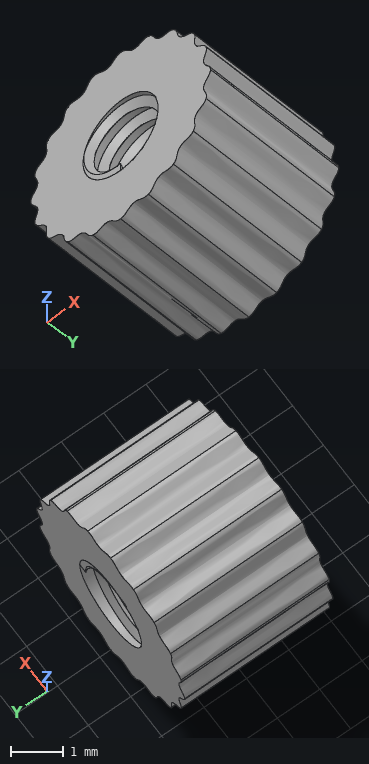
import cadquery as cq
import math

tip_diameter = 4.8
tip_radius = tip_diameter / 2
tooth_depth = 0.155
root_radius = tip_radius - tooth_depth
tooth_count = 20
flank_handle = 0.165
length = 3.5

bore_diameter = 2.0
bore_radius = bore_diameter / 2
minor_diameter = 1.6
minor_radius = minor_diameter / 2
thread_turns = 8.75
pitch = length / thread_turns
ridge_angle = 60.0
trim_overlap = 0.025


def profile_point(radius, angle):
    return cq.Vector(radius * math.sin(angle), radius * math.cos(angle))


def along_profile(angle, distance):
    """Step along the circumference, square to the radius at the given angle."""
    return cq.Vector(math.cos(angle), -math.sin(angle)) * distance


def make_knurl_edges():
    """Smooth flanks running between each tooth tip and the next valley."""
    half_tooth = math.pi / tooth_count
    edges = []
    for index in range(2 * tooth_count):
        start_angle = index * half_tooth
        end_angle = start_angle + half_tooth
        radii = (tip_radius, root_radius) if index % 2 == 0 else (root_radius, tip_radius)
        start = profile_point(radii[0], start_angle)
        end = profile_point(radii[1], end_angle)
        start_handle = start + along_profile(start_angle, flank_handle)
        end_handle = end - along_profile(end_angle, flank_handle)
        edges.append(cq.Edge.makeBezier([start, start_handle, end_handle, end]))
    return edges


def make_knurled_body():
    outline = cq.Wire.assembleEdges(make_knurl_edges())
    blank = cq.Workplane("XY").add(outline).toPending().extrude(length)
    bore = cq.Workplane("XY").circle(bore_radius).extrude(length)
    return blank.cut(bore)


def make_thread():
    """Right-handed ridge whose ends are trimmed flush with the body's end faces."""
    outer_radius = bore_radius + trim_overlap
    outer_half_width = (outer_radius - minor_radius) * math.tan(math.radians(ridge_angle / 2))
    path = cq.Wire.makeHelix(pitch, length, bore_radius)
    ridge = (
        cq.Workplane("XZ")
        .polyline(
            [
                (outer_radius, -outer_half_width),
                (minor_radius, 0),
                (outer_radius, outer_half_width),
            ]
        )
        .close()
        .sweep(cq.Workplane(path), isFrenet=True)
    )
    bore = cq.Workplane("XY").circle(bore_radius).extrude(length)
    turn_at_end = 360 * thread_turns
    return ridge.intersect(bore).rotate((0, 0, 0), (0, 0, 1), -90 - turn_at_end)


def lay_along_y(body):
    """Turn the Z axis of a body to -Y and centre its length on the origin."""
    return body.rotate((0, 0, 0), (1, 0, 0), 90).translate((0, length / 2, 0))


knurled_body = lay_along_y(make_knurled_body())
thread = lay_along_y(make_thread())

result = cq.Compound.makeCompound([knurled_body.val(), thread.val()])